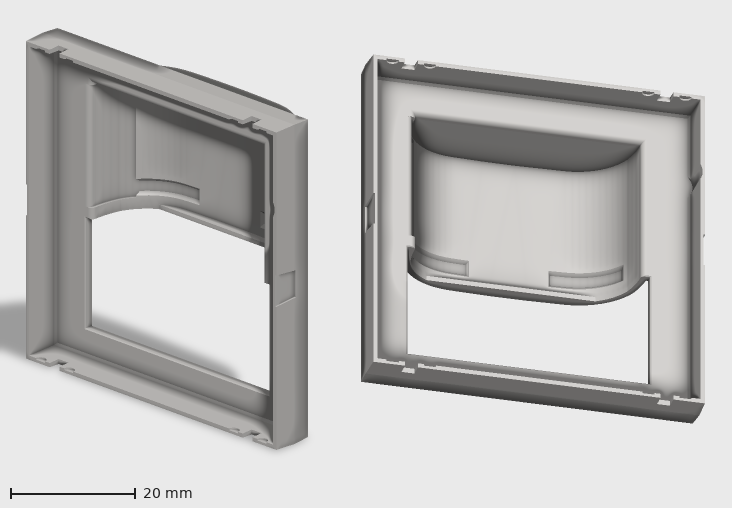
import cadquery as cq
import math


frame_size = 55.6
end_size = 55.25
parting_depth = 4.05
frame_depth = 7.6
edge_radius = 0.3

rim_opening = 53.8
foot_opening = 53.6
plate_opening = 52.75
plate_front = 6.1
foot_depth = plate_front - 0.4

hood_half_width = 19.9
hood_crown = 19.7
crown_half_width = 9.55
shoulder_top = 19.4
shoulder_end_x = 19.1
shoulder_end_y = 12.45
shoulder_mid_x = 16.2
shoulder_mid_y = 16.75
side_bow = 0.15
hood_wall = 1.1
hood_bottom = -2.9
hood_top = 22.0
hood_top_drop = 0.45
roof_wall = 1.05
mouth_radius = 0.85

window_half_width = 20.25
window_bottom = -22.15
window_chamfer = 0.15

ledge_front = 16.9
ledge_height = 0.8

recess_depth = 0.55
slot_floor_bottom = 0.0
slot_floor_top = 1.8
slot_inner_x = 6.65
slot_outer_x = 17.7
channel_bottom = -0.9
channel_edge_x = 16.85

notch_center = 21.3
notch_width = 2.15
notch_depth = 2.1
scallop_offset = 3.1
scallop_radius = 1.0
scallop_cut = 0.4

grip_front_width = 5.45
grip_back_width = 4.7
grip_length = 4.5
grip_depth = 0.45

groove_center_z = 14.0
groove_radius = 2.45
groove_floor_x = 27.25

through = 2 * frame_size
margin = 0.05


def frustum(front, front_size, back, back_size):
    """Square block that changes size from one depth to another."""
    return (
        cq.Workplane("XZ", origin=(0, front, 0))
        .rect(front_size, front_size)
        .workplane(offset=front - back)
        .rect(back_size, back_size)
        .loft(combine=True)
    )


def box(x_range, y_range, z_range):
    """Box between two limits on each axis."""
    ranges = (x_range, y_range, z_range)
    sizes = [high - low for low, high in ranges]
    return cq.Workplane("XY").box(*sizes, centered=False).translate([low for low, high in ranges])


def hood_outline(inset, height):
    """Hood outline moved inward by inset, on a plane at the given height."""
    side_mid_x = (hood_half_width + shoulder_end_x) / 2 + side_bow
    side_mid_y = (frame_depth + shoulder_end_y) / 2
    outline = (
        cq.Workplane("XY", origin=(0, 0, height))
        .moveTo(-hood_half_width, 0)
        .lineTo(-hood_half_width, frame_depth)
        .threePointArc((-side_mid_x, side_mid_y), (-shoulder_end_x, shoulder_end_y))
        .threePointArc((-shoulder_mid_x, shoulder_mid_y), (-crown_half_width, shoulder_top))
        .threePointArc((0, hood_crown), (crown_half_width, shoulder_top))
        .threePointArc((shoulder_mid_x, shoulder_mid_y), (shoulder_end_x, shoulder_end_y))
        .threePointArc((side_mid_x, side_mid_y), (hood_half_width, frame_depth))
        .lineTo(hood_half_width, 0)
        .close()
    )
    return outline.offset2D(-inset, "intersection") if inset else outline


def hood_body(inset, roof):
    """Hood shape with a roof that falls toward the crown."""
    below_roof = (
        cq.Workplane("YZ", origin=(-through / 2, 0, 0))
        .moveTo(0, hood_bottom)
        .lineTo(0, roof)
        .lineTo(frame_depth, roof)
        .lineTo(hood_crown, roof - hood_top_drop)
        .lineTo(hood_crown, hood_bottom)
        .close()
        .extrude(through)
    )
    return hood_outline(inset, hood_bottom).extrude(roof - hood_bottom).intersect(below_roof)


def make_shell():
    """Drafted frame with the hollow hood on its back plate."""
    front_half = frustum(0, end_size, parting_depth, frame_size)
    back_half = frustum(parting_depth, frame_size, frame_depth, end_size).edges(">Y").fillet(edge_radius)
    shell = front_half.union(back_half).union(hood_body(0, hood_top))
    shell = shell.cut(frustum(0, rim_opening, foot_depth, foot_opening))
    shell = shell.cut(frustum(foot_depth, foot_opening, plate_front, plate_opening))
    shell = shell.cut(hood_body(hood_wall, hood_top - roof_wall))
    mouth_edges = cq.selectors.BoxSelector(
        (-hood_half_width, plate_front - margin, hood_bottom + 0.55),
        (hood_half_width, plate_front + margin, hood_top),
    )
    return shell.edges(mouth_edges).fillet(mouth_radius)


def make_window():
    """Rectangular window with a chamfered front edge."""
    width = 2 * window_half_width
    height = hood_bottom - window_bottom
    plane = cq.Workplane("XZ", origin=(0, plate_front, (hood_bottom + window_bottom) / 2))
    opening = plane.rect(width, height).extrude(plate_front - frame_depth)
    bevel = (
        plane.rect(width + 2 * window_chamfer, height + 2 * window_chamfer)
        .workplane(offset=-window_chamfer)
        .rect(width, height)
        .loft(combine=True)
    )
    return opening.union(bevel)


def make_ledge():
    """Flat-fronted ledge across the lower edge of the hood's back wall."""
    bar = box(
        (-hood_half_width, hood_half_width),
        (ledge_front, hood_crown),
        (hood_bottom, hood_bottom + ledge_height),
    )
    return bar.intersect(hood_body(hood_wall / 2, hood_top))


def make_slots():
    """Curved slots in both shoulders of the hood, with sides flared at 45 degrees."""
    floor_inset = hood_wall - recess_depth
    band = hood_outline(floor_inset, slot_floor_bottom).extrude(slot_floor_top - slot_floor_bottom)
    upper = hood_outline(floor_inset, slot_floor_top).extrude(recess_depth, taper=45)
    lower = upper.mirror("XY").translate((0, 0, slot_floor_top + slot_floor_bottom))
    band = band.union(upper).union(lower)
    slots = None
    for side in (-1, 1):
        ends = (
            cq.Workplane("XY", origin=(0, 0, -through / 2))
            .moveTo(side * slot_inner_x, frame_depth)
            .lineTo(side * slot_inner_x, hood_crown - hood_wall)
            .lineTo(side * (slot_inner_x + hood_wall), hood_crown)
            .lineTo(side * slot_outer_x, hood_crown)
            .lineTo(side * slot_outer_x, frame_depth)
            .close()
            .extrude(through)
        )
        slot = band.intersect(ends)
        slots = slot if slots is None else slots.union(slot)
    return slots


def make_channel():
    """Upright channel in the left side wall of the hood, opening onto the plate."""
    top = hood_top - roof_wall - hood_top_drop
    height = top - channel_bottom
    wall_x = -(hood_half_width - hood_wall + recess_depth)
    reach = box((-hood_half_width, -channel_edge_x), (0, hood_crown), (channel_bottom, top))
    channel = hood_outline(hood_wall - recess_depth, channel_bottom).extrude(height).intersect(reach)
    bend = mouth_radius * (1 - math.sqrt(0.5))
    mouth = (
        cq.Workplane("XY", origin=(0, 0, channel_bottom))
        .moveTo(wall_x, plate_front)
        .lineTo(wall_x - mouth_radius, plate_front)
        .threePointArc((wall_x - bend, plate_front + bend), (wall_x, plate_front + mouth_radius))
        .close()
        .extrude(height)
    )
    return channel.union(mouth)


def cut_rim_notches(body):
    """Through notches with a scallop on each side, in the top and bottom walls."""
    scallop_height = foot_opening / 2 + scallop_cut
    for side in (-1, 1):
        center = side * notch_center
        x_range = (center - notch_width / 2, center + notch_width / 2)
        body = body.cut(box(x_range, (0, notch_depth), (-through / 2, through / 2)))
        for offset in (-scallop_offset, scallop_offset):
            scallop = (
                cq.Workplane("XY", origin=(center + offset, 0, -scallop_height))
                .circle(scallop_radius)
                .extrude(2 * scallop_height)
            )
            body = body.cut(scallop)
    return body


def make_grip(side):
    """Tapered finger recess on the outside of one side wall."""
    inner_x = frame_size / 2 - grip_depth
    return (
        cq.Workplane("YZ", origin=(side * inner_x, 0, 0))
        .moveTo(0, -grip_front_width / 2)
        .lineTo(0, grip_front_width / 2)
        .lineTo(grip_length, grip_back_width / 2)
        .lineTo(grip_length, -grip_back_width / 2)
        .close()
        .extrude(side * 2 * grip_depth)
    )


def make_groove():
    """Round groove along the inside of the +X wall, from the rim to the plate."""
    return (
        cq.Workplane("XZ", origin=(groove_floor_x - groove_radius, 0, groove_center_z))
        .circle(groove_radius)
        .extrude(-plate_front)
    )


result = make_shell().cut(make_window()).union(make_ledge())
result = result.cut(make_slots()).cut(make_channel())
result = cut_rim_notches(result)
for wall_side in (-1, 1):
    result = result.cut(make_grip(wall_side))
result = result.cut(make_groove())